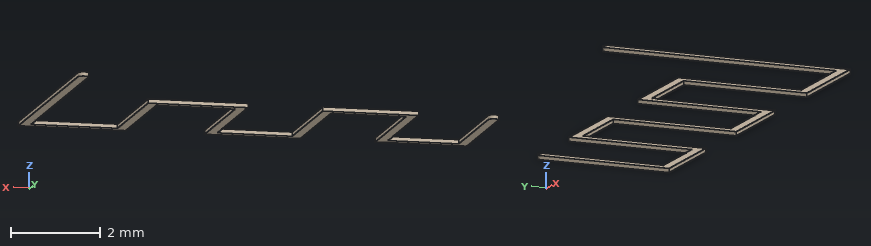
import cadquery as cq

overall_length = 10.34
overall_width = 5.98
thickness = 0.1
strip_width = 0.25
meander_width = 3.25

inner_leg_lefts = [1.87, 3.84, 5.8, 7.86]

half_strip = strip_width / 2
low_line = half_strip
high_line = meander_width - half_strip


def strip_between(start, end):
    """Straight strip along X or Y whose square ends reach half a strip past both points."""
    (x1, y1), (x2, y2) = start, end
    length_x = abs(x2 - x1) + strip_width
    length_y = abs(y2 - y1) + strip_width
    return (
        cq.Workplane("XY")
        .center((x1 + x2) / 2, (y1 + y2) / 2)
        .rect(length_x, length_y)
        .extrude(thickness)
    )


def end_leg(x, tip_y):
    """Leg along Y from the lower run, with a full round at its free tip."""
    round_start = tip_y - half_strip
    return (
        cq.Workplane("XY")
        .moveTo(x - half_strip, 0)
        .lineTo(x + half_strip, 0)
        .lineTo(x + half_strip, round_start)
        .threePointArc((x, tip_y), (x - half_strip, round_start))
        .close()
        .extrude(thickness)
    )


first_leg = half_strip
last_leg = overall_length - half_strip
inner_legs = [left + half_strip for left in inner_leg_lefts]
leg_lines = [first_leg] + inner_legs + [last_leg]

result = end_leg(first_leg, meander_width).union(end_leg(last_leg, overall_width))

for x in inner_legs:
    result = result.union(strip_between((x, low_line), (x, high_line)))

for index, (x_start, x_end) in enumerate(zip(leg_lines, leg_lines[1:])):
    y = low_line if index % 2 == 0 else high_line
    result = result.union(strip_between((x_start, y), (x_end, y)))

result = result.clean()